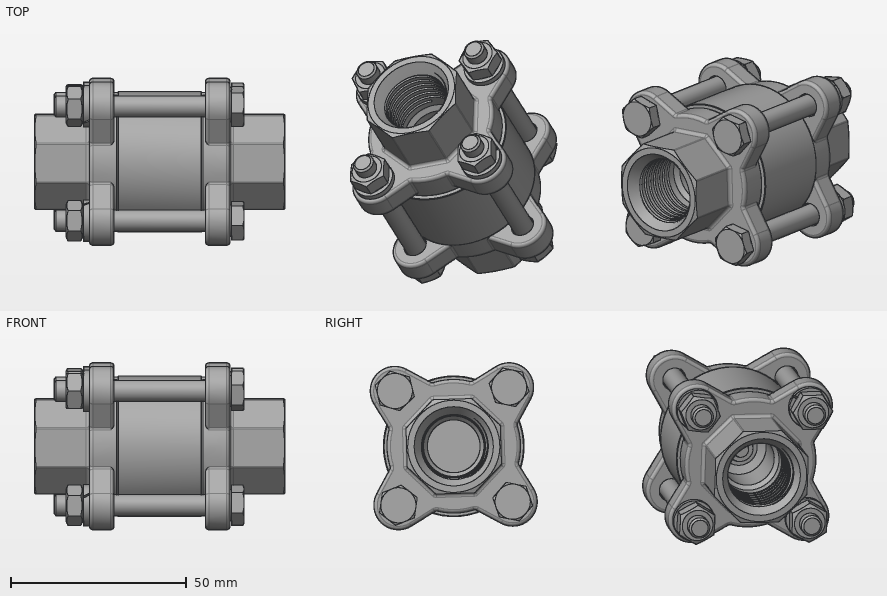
import cadquery as cq
import math

HALF_LENGTH = 35.6
CLOCKING = 1.81

BARREL_D = 40.0
BARREL_HALF_LENGTH = 11.9
BARREL_CHAMFER = 0.2
FLANGE_D = 38.0
FLANGE_REAR_CHAMFER = 0.4
LUG_INNER_X = 13.0
LUG_OUTER_X = 20.0
LUG_THICKNESS = LUG_OUTER_X - LUG_INNER_X
LUG_R = 7.0
BOLT_PITCH = 32.5
LUG_FLANK_ANGLE = 30.0
LUG_ROOT_R = 1.0
EDGE_FILLET = 1.0
FACE_TOLERANCE = 0.01

OCTAGON_AF = 26.8
OCTAGON_CORNER_D = OCTAGON_AF / math.cos(math.pi / 8)
OCTAGON_EDGE_R = 0.5
OCTAGON_FACE_D = 26.2
END_CHAMFER_ANGLE = 20.0

MOUTH_D = 22.5
MOUTH_DEPTH = 3.3
THREAD_MINOR_D = 18.1
THREAD_TAPER_ANGLE = math.degrees(math.atan(1 / 32))
THREAD_BORE_DEPTH = 18.0
PORT_D = 15.0
PORT_CONE_DEPTH = 1.5

THREAD_PITCH = 2.0
THREAD_TURNS = 7
THREAD_START = 1.9
GROOVE_DEPTH = 0.8
GROOVE_HALF_WIDTH = 0.42
GROOVE_OVERCUT = 0.1

BOLT_D = 6.0
BOLT_HOLE_D = 6.7
BOLT_TIP_X = -30.0
BOLT_TIP_D = 4.8
BOLT_TIP_LENGTH = 0.5
WASHER_D = 11.8
WASHER_T = 1.6
WASHER_GAP = 0.5
WASHER_GAP_SLANT = 30.0
HEX_AF = 10.0
HEX_CORNER_D = HEX_AF / math.cos(math.pi / 6)
HEX_FACE_D = 8.88
NUT_HEIGHT = 5.1
NUT_COLLAR = 0.2
NUT_CHAMFER = 0.65
HEAD_HEIGHT = 4.0
HEAD_COLLAR = 0.45
HEAD_CHAMFER = 0.4
BOLTS = [
    (-1, 1, 0, 43.5, 35),
    (1, 1, 9, 48.5, 137),
    (-1, -1, 31.5, 22, 152),
    (1, -1, 33.5, 49, 146),
]

DISC_LENGTH = 8.0
DISC_INLET_X = -4.0
DISH_FLOOR_D = 10.2
DISH_DEPTH = 1.0
HUB_D = 7.5
HUB_HEIGHT = 1.0
PIN_D = 4.5
PIN_HEIGHT = 2.0


def cylinder_x(diameter, x_start, x_end):
    """Cylinder about the X axis."""
    return cq.Workplane("YZ", origin=(x_start, 0, 0)).circle(diameter / 2).extrude(x_end - x_start)


def revolve_x(points):
    """Solid of revolution about X from (x, radius) points."""
    return cq.Workplane("XY").polyline(points).close().revolve(360, (0, 0, 0), (1, 0, 0))


def hexagon(x_start, x_end, turn):
    """Hexagonal prism about X with a corner at the given angle from +Y."""
    prism = cq.Workplane("YZ", origin=(x_start, 0, 0)).polygon(6, HEX_CORNER_D)
    return prism.extrude(x_end - x_start).rotate((0, 0, 0), (1, 0, 0), turn)


def lug():
    """One bolt lug in the +Y +Z corner of the inlet flange, before its edges are rounded."""
    centre = BOLT_PITCH / 2
    slope = math.radians(LUG_FLANK_ANGLE)
    tangent_y = centre - LUG_R * math.sin(slope)
    tangent_z = centre + LUG_R * math.cos(slope)
    buried_y = tangent_y - centre
    buried_z = tangent_z - centre * math.tan(slope)
    tip = centre + LUG_R * math.cos(math.pi / 4)
    return (
        cq.Workplane("YZ", origin=(-LUG_OUTER_X, 0, 0))
        .moveTo(buried_y, buried_z)
        .lineTo(tangent_y, tangent_z)
        .threePointArc((tip, tip), (tangent_z, tangent_y))
        .lineTo(buried_z, buried_y)
        .lineTo(0, 0)
        .close()
        .extrude(LUG_THICKNESS)
    )


def flange():
    """Inlet flange: round plate with four lugs, rounded along both faces."""
    plate = cylinder_x(FLANGE_D, -LUG_OUTER_X, -LUG_INNER_X)
    for quarter_turn in (0, 90, 180, 270):
        plate = plate.union(lug().rotate((0, 0, 0), (1, 0, 0), quarter_turn))
    reach = FLANGE_D / 2
    root_corners = cq.selectors.BoxSelector((-LUG_OUTER_X, -reach, -reach), (0, reach, reach))
    plate = plate.edges("|X").edges(root_corners).fillet(LUG_ROOT_R)
    plate = plate.faces("<X or >X").edges().fillet(EDGE_FILLET)
    rear = cylinder_x(FLANGE_D, -LUG_OUTER_X + LUG_THICKNESS / 2, -BARREL_HALF_LENGTH)
    return plate.union(rear.faces(">X").chamfer(FLANGE_REAR_CHAMFER))


def octagon_end():
    """Octagonal inlet end with rounded long edges and a chamfered face."""
    prism = (
        cq.Workplane("YZ", origin=(-HALF_LENGTH, 0, 0))
        .polygon(8, OCTAGON_CORNER_D)
        .extrude(HALF_LENGTH - LUG_INNER_X)
        .rotate((0, 0, 0), (1, 0, 0), 360 / 16)
        .edges("|X")
        .fillet(OCTAGON_EDGE_R)
    )
    outer_r = OCTAGON_CORNER_D / 2
    chamfer_length = (outer_r - OCTAGON_FACE_D / 2) * math.tan(math.radians(END_CHAMFER_ANGLE))
    envelope = revolve_x([
        (-HALF_LENGTH, 0),
        (-HALF_LENGTH, OCTAGON_FACE_D / 2),
        (-HALF_LENGTH + chamfer_length, outer_r),
        (0, outer_r),
        (0, 0),
    ])
    return prism.intersect(envelope)


def end_piece():
    """Inlet end: flange and octagon blended together."""
    body = flange().union(octagon_end())
    reach = OCTAGON_CORNER_D / 2
    root = cq.selectors.BoxSelector(
        (-LUG_OUTER_X - FACE_TOLERANCE, -reach, -reach),
        (-LUG_OUTER_X + FACE_TOLERANCE, reach, reach),
    )
    return body.edges(root).fillet(EDGE_FILLET)


def bore():
    """Cavity of the inlet end: flared mouth, tapered thread bore, cone and port."""
    thread_x = -HALF_LENGTH + MOUTH_DEPTH
    cone_x = -HALF_LENGTH + THREAD_BORE_DEPTH
    taper = math.tan(math.radians(THREAD_TAPER_ANGLE))
    return revolve_x([
        (-HALF_LENGTH, 0),
        (-HALF_LENGTH, MOUTH_D / 2),
        (thread_x, THREAD_MINOR_D / 2),
        (cone_x, THREAD_MINOR_D / 2 - taper * (cone_x - thread_x)),
        (cone_x + PORT_CONE_DEPTH, PORT_D / 2),
        (0, PORT_D / 2),
        (0, 0),
    ])


def thread_groove():
    """Right-hand tapered triangular groove winding into the inlet bore from its top."""
    first_x = -HALF_LENGTH + THREAD_START
    wall_r = THREAD_MINOR_D / 2
    path = cq.Wire.makeHelix(
        THREAD_PITCH, THREAD_PITCH * THREAD_TURNS, wall_r,
        cq.Vector(first_x, 0, 0), cq.Vector(1, 0, 0), -THREAD_TAPER_ANGLE,
    )
    at = path.startPoint()
    radial = cq.Plane(origin=(first_x, 0, 0), xDir=(0, at.y, at.z), normal=(0, -at.z, at.y))
    mouth_half_width = GROOVE_HALF_WIDTH * (1 + GROOVE_OVERCUT / GROOVE_DEPTH)
    profile = cq.Workplane(radial).polyline([
        (wall_r - GROOVE_OVERCUT, -mouth_half_width),
        (wall_r + GROOVE_DEPTH, 0),
        (wall_r - GROOVE_OVERCUT, mouth_half_width),
    ]).close()
    groove = profile.sweep(cq.Workplane(obj=path), isFrenet=True)
    top_turn = 90 - math.degrees(math.atan2(at.z, at.y))
    return groove.rotate((0, 0, 0), (1, 0, 0), top_turn)


def outlet(shape):
    """Copy of an inlet-side shape turned round to the outlet side."""
    return shape.rotate((0, 0, 0), (0, 0, 1), 180)


def lock_washer(gap_turn):
    """Split spring washer against the inlet lugs."""
    washer = cylinder_x(WASHER_D, -LUG_OUTER_X - WASHER_T, -LUG_OUTER_X)
    gap = (
        cq.Workplane("XY")
        .box(3 * WASHER_T, WASHER_D / 2, WASHER_GAP)
        .rotate((0, 0, 0), (0, 1, 0), WASHER_GAP_SLANT)
        .translate((-LUG_OUTER_X - WASHER_T / 2, BOLT_D / 2 + WASHER_D / 4, 0))
        .rotate((0, 0, 0), (1, 0, 0), gap_turn)
    )
    return washer.cut(gap)


def nut(turn):
    """Hexagon nut chamfered on both faces, with a round collar against the washer."""
    washer_x = -LUG_OUTER_X - WASHER_T
    inner = washer_x - NUT_COLLAR
    outer = washer_x - NUT_HEIGHT
    envelope = revolve_x([
        (outer, 0),
        (outer, HEX_FACE_D / 2),
        (outer + NUT_CHAMFER, HEX_CORNER_D / 2),
        (inner - NUT_CHAMFER, HEX_CORNER_D / 2),
        (inner, HEX_FACE_D / 2),
        (inner, 0),
    ])
    body = hexagon(outer, inner, turn).intersect(envelope)
    return body.union(cylinder_x(HEX_FACE_D, inner, washer_x))


def bolt_head(turn):
    """Hexagon head on the outlet side with a round collar under it."""
    hex_start = LUG_OUTER_X + HEAD_COLLAR
    end = LUG_OUTER_X + HEAD_HEIGHT
    envelope = revolve_x([
        (hex_start, 0),
        (hex_start, HEX_CORNER_D / 2),
        (end - HEAD_CHAMFER, HEX_CORNER_D / 2),
        (end, HEX_AF / 2),
        (end, 0),
    ])
    head = hexagon(hex_start, end, turn).intersect(envelope)
    return head.union(cylinder_x(HEX_FACE_D, LUG_OUTER_X, hex_start))


def shank():
    """Bolt shank with a tapered tip."""
    return revolve_x([
        (BOLT_TIP_X, 0),
        (BOLT_TIP_X, BOLT_TIP_D / 2),
        (BOLT_TIP_X + BOLT_TIP_LENGTH, BOLT_D / 2),
        (LUG_OUTER_X, BOLT_D / 2),
        (LUG_OUTER_X, 0),
    ])


def at_bolt(shape, y_side, z_side):
    """Move a shape from the valve axis to one of the four bolt axes."""
    return shape.translate((0, y_side * BOLT_PITCH / 2, z_side * BOLT_PITCH / 2))


def make_end():
    """Complete inlet end: bored, threaded and drilled for the bolts."""
    end = end_piece()
    end = end.union(cylinder_x(BARREL_D, -BARREL_HALF_LENGTH, 0).faces("<X").chamfer(BARREL_CHAMFER))
    end = end.cut(bore()).cut(thread_groove())
    for y_side, z_side, *_ in BOLTS:
        hole = cylinder_x(BOLT_HOLE_D, -LUG_OUTER_X, -LUG_INNER_X)
        end = end.cut(at_bolt(hole, y_side, z_side))
    return end


def make_housing():
    """Valve body with both ends and its four tie bolts."""
    end = make_end()
    housing = end.union(outlet(end))
    for y_side, z_side, nut_turn, head_turn, gap_turn in BOLTS:
        fastener = (
            shank()
            .union(lock_washer(gap_turn - CLOCKING))
            .union(nut(nut_turn - CLOCKING))
            .union(bolt_head(head_turn - CLOCKING))
        )
        housing = housing.union(at_bolt(fastener, y_side, z_side))
    return housing.rotate((0, 0, 0), (1, 0, 0), CLOCKING)


def make_disc():
    """Closing disc: dished on the inlet side around a stepped hub."""
    floor = DISC_INLET_X + DISH_DEPTH
    return revolve_x([
        (floor - PIN_HEIGHT, 0),
        (floor - PIN_HEIGHT, PIN_D / 2),
        (floor - HUB_HEIGHT, PIN_D / 2),
        (floor - HUB_HEIGHT, HUB_D / 2),
        (floor, HUB_D / 2),
        (floor, DISH_FLOOR_D / 2),
        (DISC_INLET_X, PORT_D / 2),
        (DISC_INLET_X + DISC_LENGTH, PORT_D / 2),
        (DISC_INLET_X + DISC_LENGTH, 0),
    ])


housing = make_housing()
disc = make_disc()
result = cq.Compound.makeCompound([*housing.solids().vals(), disc.val()])